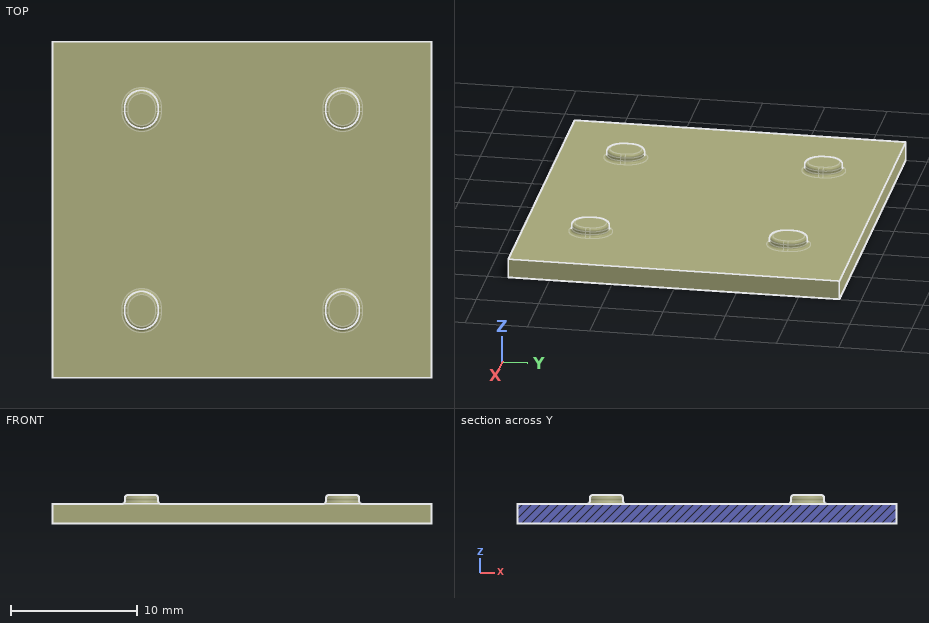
import cadquery as cq

plate_length = 30.0
plate_width = 26.6
total_height = 2.28
stud_height = 0.72
plate_thickness = total_height - stud_height

stud_spacing = 15.9

stud_width = 2.65
stud_straight = 0.35
stud_length = stud_width + stud_straight
edge_radius = 0.25
foot_radius = 0.25


def make_plate():
    """Plain rectangular plate."""
    return cq.Workplane("XY").box(plate_length, plate_width, plate_thickness, centered=(True, True, False))


def add_studs(plate):
    """Raise the studs from the top face, with rounded top edges and concave fillets at the feet."""
    studded = (
        plate.faces(">Z")
        .workplane()
        .rarray(stud_spacing, stud_spacing, 2, 2)
        .slot2D(stud_length, stud_width, angle=90)
        .extrude(stud_height)
    )
    rounded = studded.faces(">Z").edges().fillet(edge_radius)

    zone_reach = stud_spacing / 2 + stud_length
    zone_half_height = foot_radius / 4
    foot_zone = cq.selectors.BoxSelector(
        (-zone_reach, -zone_reach, plate_thickness - zone_half_height),
        (zone_reach, zone_reach, plate_thickness + zone_half_height),
    )
    return rounded.edges(foot_zone).fillet(foot_radius)


result = add_studs(make_plate())